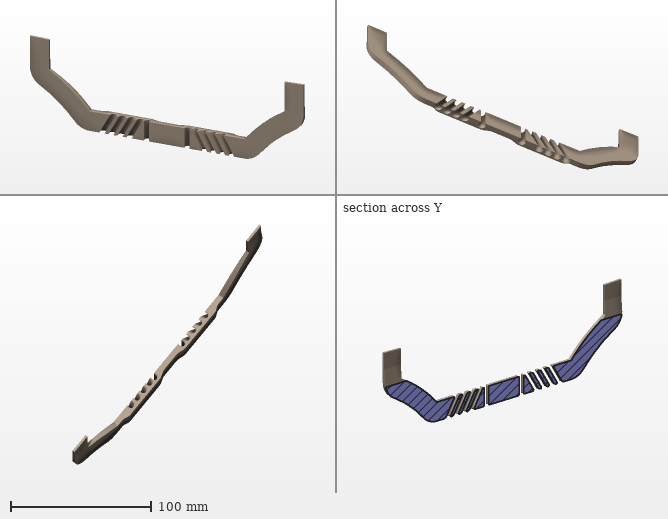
import cadquery as cq
import math

LENGTH = 215.0
HEIGHT = 65.0
BAND_WIDTH = 15.0
TIP_DROP = 0.5
ARM_CORNER_Z = 41.5
BAR_HALF = 60.9
ARM_RADIUS = 122.5

BAND_THICK = 4.0
PAD_THICK = 6.0
TIP_THICK = 1.7
TAPER_START_Z = 28.0
TAPER_END_Z = 52.5

OUTER_FOOT_X = 55.5
OUTER_CREST_X = 48.6
INNER_CREST_X = 15.5
INNER_FOOT_X = 6.5

SLOT_WIDTH = 3.9
SLANT_WIDTH = 3.7
GROOVE_DEPTH = 4.0
SLOT_X = 16.0
SLANT_ANGLE = 30.0
SLANT_COUNT = 4
SLANT_PITCH = 7.0
FIRST_SLANT_X = 25.4
LOWER_FLARE = 0.9
LOWER_FLARE_DEPTH = 1.0
UPPER_FLARE = 0.6
UPPER_FLARE_DEPTH = 0.5

OUTER_X = LENGTH / 2
TIP_X = OUTER_X - BAND_WIDTH


def arc_centre(start, end, radius):
    """Centre of an arc bulging up and inward from start (left, higher) to end."""
    dx, dz = end[0] - start[0], end[1] - start[1]
    chord = math.hypot(dx, dz)
    centre_distance = math.sqrt(radius**2 - (chord / 2) ** 2)
    return (
        (start[0] + end[0]) / 2 + centre_distance * dz / chord,
        (start[1] + end[1]) / 2 - centre_distance * dx / chord,
    )


def polar(centre, radius, angle):
    """Point at radius and angle from centre."""
    return (centre[0] + radius * math.cos(angle), centre[1] + radius * math.sin(angle))


def half_band():
    """Left half of the band: the outer edge runs one band width from the inner edge."""
    arm_corner = (-TIP_X, ARM_CORNER_Z)
    bar_corner = (-BAR_HALF, BAND_WIDTH)
    centre = arc_centre(arm_corner, bar_corner, ARM_RADIUS)
    arm_angle = math.atan2(arm_corner[1] - centre[1], arm_corner[0] - centre[0])
    bar_angle = math.atan2(bar_corner[1] - centre[1], bar_corner[0] - centre[0])
    mid_angle = (arm_angle + bar_angle) / 2
    outer_radius = ARM_RADIUS - BAND_WIDTH
    bar_round_angle = (bar_angle + math.pi + 1.5 * math.pi) / 2
    arm_round_angle = arm_angle / 2 + math.pi
    return (
        cq.Workplane("XZ")
        .moveTo(0, 0)
        .lineTo(-BAR_HALF, 0)
        .threePointArc(
            polar(bar_corner, BAND_WIDTH, bar_round_angle),
            polar(centre, outer_radius, bar_angle),
        )
        .threePointArc(polar(centre, outer_radius, mid_angle), polar(centre, outer_radius, arm_angle))
        .threePointArc(
            polar(arm_corner, BAND_WIDTH, arm_round_angle),
            (-OUTER_X, ARM_CORNER_Z),
        )
        .lineTo(-OUTER_X, HEIGHT)
        .lineTo(-TIP_X, HEIGHT - TIP_DROP)
        .lineTo(*arm_corner)
        .threePointArc(polar(centre, ARM_RADIUS, mid_angle), bar_corner)
        .lineTo(0, BAND_WIDTH)
        .close()
        .extrude(-PAD_THICK)
    )


def back_along_x():
    """Left half of the thickness along X, with smooth ramps up to the raised pad."""
    level = [(1, 0), (1, 0)]
    return (
        cq.Workplane("XY")
        .moveTo(0, 0)
        .lineTo(-OUTER_X, 0)
        .lineTo(-OUTER_X, BAND_THICK)
        .lineTo(-OUTER_FOOT_X, BAND_THICK)
        .spline([(-OUTER_CREST_X, PAD_THICK)], tangents=level, includeCurrent=True)
        .lineTo(-INNER_CREST_X, PAD_THICK)
        .spline([(-INNER_FOOT_X, BAND_THICK)], tangents=level, includeCurrent=True)
        .lineTo(0, BAND_THICK)
        .close()
        .extrude(HEIGHT)
    )


def back_along_z():
    """Thickness along Z: full over the bar, then thinning up the arm to the tip."""
    return (
        cq.Workplane("YZ")
        .moveTo(0, 0)
        .lineTo(PAD_THICK, 0)
        .lineTo(PAD_THICK, BAND_WIDTH)
        .lineTo(BAND_THICK, BAND_WIDTH)
        .lineTo(BAND_THICK, TAPER_START_Z)
        .lineTo(TIP_THICK, TAPER_END_Z)
        .lineTo(TIP_THICK, HEIGHT)
        .lineTo(0, HEIGHT)
        .close()
        .extrude(-OUTER_X)
    )


def groove(x, angle, width):
    """Groove cutter crossing the bar at x, leaning by angle about its mid height."""
    radius = width / 2
    return (
        cq.Workplane("XY")
        .moveTo(-radius, -radius)
        .lineTo(radius, -radius)
        .lineTo(radius, GROOVE_DEPTH - radius)
        .threePointArc((0, GROOVE_DEPTH), (-radius, GROOVE_DEPTH - radius))
        .close()
        .extrude(BAND_WIDTH, both=True)
        .rotate((0, 0, 0), (0, 1, 0), angle)
        .translate((x, 0, BAND_WIDTH / 2))
    )


def flare(x, angle, width, widening, from_z, to_z):
    """Countersink of a groove, widening from level from_z to the bar edge at to_z."""
    slope = math.tan(math.radians(angle))
    stretch = 1 / math.cos(math.radians(angle))
    groove_radius = width / 2
    axis_y = GROOVE_DEPTH - groove_radius
    start_x = x + (from_z - BAND_WIDTH / 2) * slope
    end_x = x + (to_z - BAND_WIDTH / 2) * slope
    end_radius = groove_radius + widening
    return (
        cq.Workplane("XY")
        .workplane(offset=from_z)
        .center(start_x, axis_y)
        .ellipse(groove_radius * stretch, groove_radius)
        .workplane(offset=to_z - from_z)
        .center(end_x - start_x, 0)
        .ellipse(end_radius * stretch, end_radius)
        .loft(ruled=True)
    )


half = half_band().intersect(back_along_x()).intersect(back_along_z())
grooves = [(-SLOT_X, 0, SLOT_WIDTH)]
for i in range(SLANT_COUNT):
    grooves.append((-FIRST_SLANT_X - i * SLANT_PITCH, SLANT_ANGLE, SLANT_WIDTH))

for x, angle, width in grooves:
    half = half.cut(groove(x, angle, width))
    half = half.cut(flare(x, angle, width, LOWER_FLARE, LOWER_FLARE_DEPTH, 0))
    half = half.cut(flare(x, angle, width, UPPER_FLARE, BAND_WIDTH - UPPER_FLARE_DEPTH, BAND_WIDTH))

result = half.union(half.mirror("YZ"))